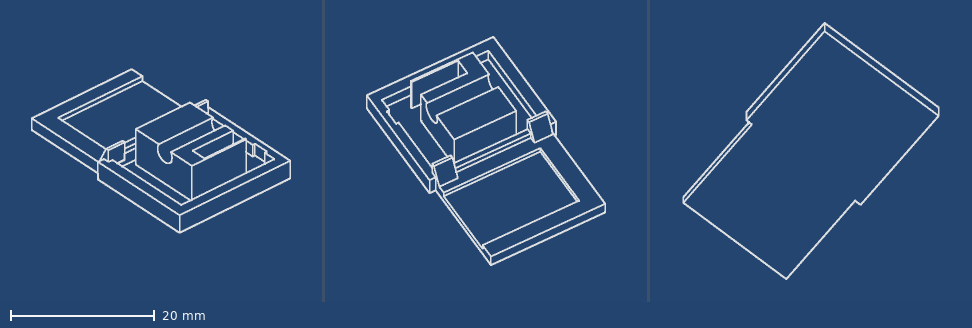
import cadquery as cq

total_length = 32.6
frame_width = 20.45
total_height = 7.0

lid_width = 18.45
lid_thickness = 2.0
lid_recess_x = (2.3, 13.05)
lid_recess_front = -6.35
lid_recess_depth = 0.8

frame_start = 15.25
frame_height = 3.0
cavity_x = (16.15, 30.85)
cavity_y = (-8.38, 8.8)
floor_height = 1.0

block_x = (17.02, 29.0)
block_y = (-4.8, 5.22)
groove_centre_x = 23.22
groove_centre_z = 6.15
groove_radius = 1.53

slot_x = (26.22, 28.75)
slot_front = -2.28

clip_start = 14.25
clip_top_start = 15.75
clip_end = 16.25
clip_width = 3.0
clip_top = 5.0
front_clip_inset = 0.1

lid_back = lid_width / 2


def box(x_range, y_range, z_range):
    """Axis-aligned box between the given limits."""
    return cq.Workplane("XY").box(
        x_range[1] - x_range[0],
        y_range[1] - y_range[0],
        z_range[1] - z_range[0],
        centered=False,
    ).translate((x_range[0], y_range[0], z_range[0]))


def make_lid():
    plate = box((0, frame_start), (-lid_back, lid_back), (0, lid_thickness))
    recess_z = (lid_thickness - lid_recess_depth, lid_thickness)
    return plate.cut(box(lid_recess_x, (lid_recess_front, lid_back), recess_z))


def make_frame():
    half_width = frame_width / 2
    body = box((frame_start, total_length), (-half_width, half_width), (0, frame_height))
    return body.cut(box(cavity_x, cavity_y, (floor_height, frame_height)))


def make_block():
    block = box(block_x, block_y, (floor_height, total_height))
    groove = (
        cq.Workplane("XZ", origin=(0, block_y[1], 0))
        .center(groove_centre_x, groove_centre_z)
        .circle(groove_radius)
        .extrude(block_y[1] - block_y[0])
    )
    return block.cut(groove)


def make_clip(back_y):
    """Wedge from the lid top to the inner side of the hinge wall, extending towards -Y."""
    return (
        cq.Workplane("XZ", origin=(0, back_y, 0))
        .moveTo(clip_start, lid_thickness)
        .lineTo(clip_top_start, clip_top)
        .lineTo(clip_end, clip_top)
        .lineTo(clip_end, lid_thickness)
        .close()
        .extrude(clip_width)
    )


result = make_lid().union(make_frame()).union(make_block())
result = result.cut(box(slot_x, (slot_front, lid_back), (floor_height, total_height)))
for clip_back in (lid_back, front_clip_inset + clip_width - lid_back):
    result = result.union(make_clip(clip_back))